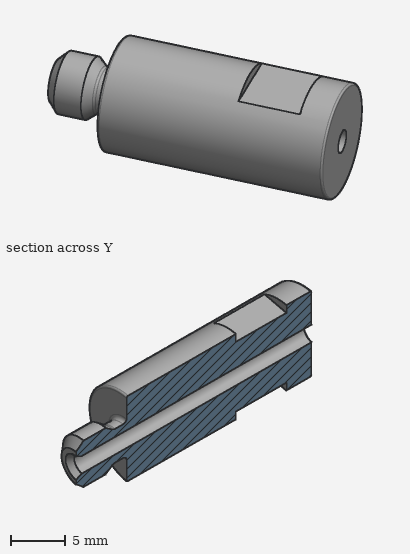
import cadquery as cq
import math

total_length = 28.0
body_diameter = 11.0
body_start = 6.0
body_edge_fillet = 0.2

nose_diameter = 6.0
nose_tip_chamfer = 0.9
neck_diameter = 4.4
neck_start = 4.5
neck_cone_angle = 40.0
neck_fillet = 0.4

bore_diameter = 2.2
countersink_diameter = 3.0
countersink_depth = 0.7

flat_start = 19.0
flat_length = 6.0
across_flats = 9.0

body_radius = body_diameter / 2
nose_radius = nose_diameter / 2
neck_radius = neck_diameter / 2
bore_radius = bore_diameter / 2
countersink_radius = countersink_diameter / 2


def turned_blank():
    """Solid of revolution carrying the nose, neck and body."""
    cone_length = (nose_radius - neck_radius) / math.tan(math.radians(neck_cone_angle))
    profile = (
        cq.Workplane("XY")
        .moveTo(0, 0)
        .lineTo(0, nose_radius - nose_tip_chamfer)
        .lineTo(nose_tip_chamfer, nose_radius)
        .lineTo(neck_start - cone_length, nose_radius)
        .lineTo(neck_start, neck_radius)
        .lineTo(body_start, neck_radius)
        .lineTo(body_start, body_radius)
        .lineTo(total_length, body_radius)
        .lineTo(total_length, 0)
        .close()
    )
    blank = profile.revolve(360, (0, 0, 0), (1, 0, 0))
    return round_body_ends(round_neck_ends(blank))


def round_neck_ends(blank):
    """Fillet the two circular edges that bound the neck cylinder."""
    neck_middle = ((neck_start + body_start) / 2, neck_radius, 0)
    neck_face = blank.faces(cq.selectors.NearestToPointSelector(neck_middle))
    return neck_face.edges("%CIRCLE").fillet(neck_fillet)


def round_body_ends(blank):
    """Fillet the outer circular edges at both ends of the body."""
    body_middle = ((body_start + total_length) / 2, body_radius, 0)
    body_face = blank.faces(cq.selectors.NearestToPointSelector(body_middle))
    return body_face.edges("%CIRCLE").fillet(body_edge_fillet)


def bore_cutter():
    """Through bore along X, widened by a cone at the nose tip."""
    return (
        cq.Workplane("XY")
        .moveTo(0, 0)
        .lineTo(0, countersink_radius)
        .lineTo(countersink_depth, bore_radius)
        .lineTo(total_length, bore_radius)
        .lineTo(total_length, 0)
        .close()
        .revolve(360, (0, 0, 0), (1, 0, 0))
    )


def flat_cutter(side):
    """Block that mills one wrench flat; side is +1 for +Z or -1 for -Z."""
    flat_depth = body_radius - across_flats / 2
    center_x = flat_start + flat_length / 2
    center_z = side * (across_flats / 2 + flat_depth / 2)
    return cq.Workplane("XY").box(flat_length, body_diameter, flat_depth).translate((center_x, 0, center_z))


result = turned_blank().cut(bore_cutter())
for side in (1, -1):
    result = result.cut(flat_cutter(side))